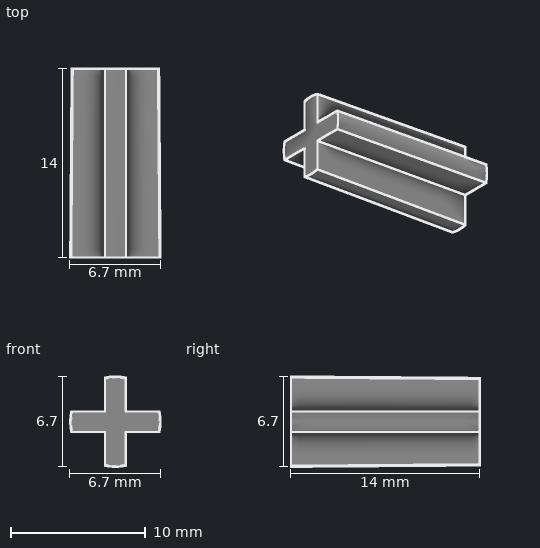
import cadquery as cq

length = 14.0
front_diameter = 6.7
back_diameter = 6.5
arm_thickness = 1.54

half_length = length / 2


def arm(size_x, size_z):
    """Full-length rectangular bar crossing the axis."""
    return cq.Workplane("XY").box(size_x, length, size_z)


def tapered_envelope():
    """Cone about the Y axis that rounds the arm tips."""
    return cq.Workplane(
        cq.Solid.makeCone(
            front_diameter / 2,
            back_diameter / 2,
            length,
            pnt=cq.Vector(0, -half_length, 0),
            dir=cq.Vector(0, 1, 0),
        )
    )


cross = arm(front_diameter, arm_thickness).union(arm(arm_thickness, front_diameter))
result = cross.intersect(tapered_envelope())